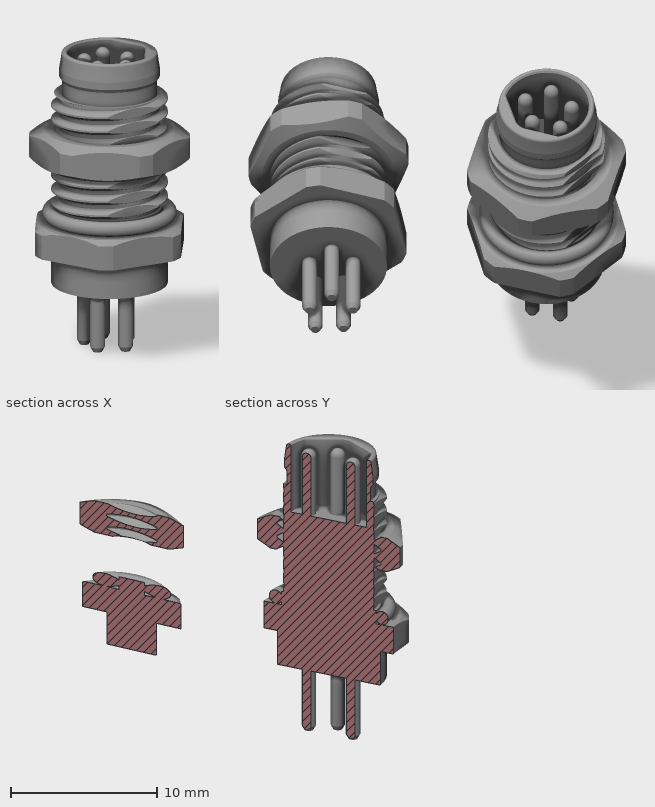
import cadquery as cq
import math

TOTAL_HEIGHT = 21.0
REAR_Z = 4.5
FLANGE_BOTTOM_Z = 7.0
FLANGE_TOP_Z = 9.0
THREAD_BOTTOM_Z = 10.0
NUT_BOTTOM_Z = 13.0
NUT_TOP_Z = 15.5
THREAD_TOP_Z = 18.0

ACROSS_FLATS = 10.0
CORNER_RADIUS = 5.5
NUT_FACE_RADIUS = 4.5
NUT_CHAMFER_HEIGHT = 0.5
NUT_MOUTH_RADIUS = 3.8
FLANGE_FACE_RADIUS = 5.0
FLANGE_CHAMFER_HEIGHT = 0.3

REAR_RADIUS = 4.0

THREAD_MAJOR_RADIUS = 4.0
THREAD_MINOR_RADIUS = 3.49
THREAD_TURNS = 8
THREAD_PITCH = (THREAD_TOP_Z - THREAD_BOTTOM_Z) / THREAD_TURNS
THREAD_CREST_WIDTH = 0.13
THREAD_FLANK_ANGLE = 30.0
ROOT_OVERLAP = 0.1
FLAT_DISTANCE = 3.5
THREAD_END_RADIUS = 3.8
THREAD_END_HEIGHT = 0.25
CREST_CLEARANCE = 0.02

RING_CENTRE_RADIUS = 4.1
RING_SECTION_RADIUS = 0.5
RING_SEAT_RADIUS = 3.65

NECK_RADIUS = 3.25
NECK_TOP_Z = 19.0
COLLAR_RADIUS = 3.45
COLLAR_BOTTOM_Z = 19.25
COLLAR_TOP_Z = 19.78
RIM_RADIUS = 3.25
RIM_ROUND = 0.19

SOCKET_FLOOR_Z = 16.0
SOCKET_RADIUS = 2.9
GABLE_PEAK_Y = 2.73
GABLE_ANGLE = 28.0
GABLE_PEAK_ROUND = 1.0
GABLE_CORNER_ROUND = 0.2
SOCKET_CHAMFER = 0.1

PIN_RADIUS = 0.5
PIN_DOME_CENTRE_Z = 20.25
PIN_TIP_RADIUS = 0.32
PIN_TIP_HEIGHT = 0.35
PIN_CENTRES = [(0, 1.36), (-1.7, 0.35), (1.7, 0.35), (-0.99, -1.43), (0.99, -1.43)]


def cylinder(radius, bottom_z, top_z):
    return cq.Workplane("XY").workplane(offset=bottom_z).circle(radius).extrude(top_z - bottom_z)


def turned(profile):
    """Revolve a closed (radius, z) outline about the Z axis."""
    return cq.Workplane("XZ").polyline(profile).close().revolve(360, (0, 0), (0, 1))


def hexagon(bottom_z, top_z, turn_angle):
    """Hexagonal prism; with no turn its corners lie on the X axis."""
    across_corners = ACROSS_FLATS / math.cos(math.radians(30))
    base = cq.Workplane("XY").workplane(offset=bottom_z).polygon(6, across_corners)
    prism = base.extrude(top_z - bottom_z)
    return prism.rotate((0, 0, 0), (0, 0, 1), turn_angle)


def make_flange():
    envelope = turned([
        (0, FLANGE_BOTTOM_Z),
        (CORNER_RADIUS, FLANGE_BOTTOM_Z),
        (CORNER_RADIUS, FLANGE_TOP_Z - FLANGE_CHAMFER_HEIGHT),
        (FLANGE_FACE_RADIUS, FLANGE_TOP_Z),
        (0, FLANGE_TOP_Z),
    ])
    return hexagon(FLANGE_BOTTOM_Z, FLANGE_TOP_Z, 30).intersect(envelope)


def make_nut():
    envelope = turned([
        (0, NUT_BOTTOM_Z),
        (NUT_FACE_RADIUS, NUT_BOTTOM_Z),
        (CORNER_RADIUS, NUT_BOTTOM_Z + NUT_CHAMFER_HEIGHT),
        (CORNER_RADIUS, NUT_TOP_Z - NUT_CHAMFER_HEIGHT),
        (NUT_FACE_RADIUS, NUT_TOP_Z),
        (0, NUT_TOP_Z),
    ])
    nut = hexagon(NUT_BOTTOM_Z, NUT_TOP_Z, 0).intersect(envelope)
    mouth_depth = NUT_MOUTH_RADIUS - THREAD_MINOR_RADIUS
    for face_z, inward in [(NUT_BOTTOM_Z, 1), (NUT_TOP_Z, -1)]:
        mouth = turned([
            (0, face_z),
            (NUT_MOUTH_RADIUS, face_z),
            (THREAD_MINOR_RADIUS, face_z + inward * mouth_depth),
            (0, face_z + inward * mouth_depth),
        ])
        nut = nut.cut(mouth)
    return nut


def make_thread():
    """Right-hand thread, one turn too long at each end then trimmed and bevelled."""
    start_z = THREAD_BOTTOM_Z - THREAD_PITCH
    helix = cq.Wire.makeHelix(THREAD_PITCH, THREAD_PITCH * (THREAD_TURNS + 2), THREAD_MINOR_RADIUS)
    inner_radius = THREAD_MINOR_RADIUS - ROOT_OVERLAP
    ridge_slope = math.tan(math.radians(THREAD_FLANK_ANGLE))
    half_crest = THREAD_CREST_WIDTH / 2
    half_base = half_crest + (THREAD_MAJOR_RADIUS - inner_radius) * ridge_slope
    ridge = (
        cq.Workplane("XZ")
        .polyline([
            (inner_radius, -half_base),
            (THREAD_MAJOR_RADIUS, -half_crest),
            (THREAD_MAJOR_RADIUS, half_crest),
            (inner_radius, half_base),
        ])
        .close()
        .sweep(cq.Workplane(helix), isFrenet=True)
    )
    ridge = ridge.rotate((0, 0, 0), (0, 0, 1), 180).translate((0, 0, start_z))
    core = cylinder(THREAD_MINOR_RADIUS, start_z - THREAD_PITCH, THREAD_TOP_Z + 2 * THREAD_PITCH)
    envelope_radius = THREAD_MAJOR_RADIUS + CREST_CLEARANCE
    envelope = turned([
        (0, THREAD_BOTTOM_Z),
        (THREAD_END_RADIUS, THREAD_BOTTOM_Z),
        (envelope_radius, THREAD_BOTTOM_Z + THREAD_END_HEIGHT),
        (envelope_radius, THREAD_TOP_Z - THREAD_END_HEIGHT),
        (THREAD_END_RADIUS, THREAD_TOP_Z),
        (0, THREAD_TOP_Z),
    ])
    return core.union(ridge).intersect(envelope)


def outside_flats(body):
    """The parts of a body beyond the two side flats."""
    between_flats = cq.Workplane("XY").box(2 * FLAT_DISTANCE, 4 * CORNER_RADIUS, 2 * TOTAL_HEIGHT)
    return body.cut(between_flats)


def make_ring():
    """Sealing ring on a short round seat just above the flange."""
    section = cq.Workplane("XZ").center(RING_CENTRE_RADIUS, (FLANGE_TOP_Z + THREAD_BOTTOM_Z) / 2)
    axis_start = (-RING_CENTRE_RADIUS, 0)
    axis_end = (-RING_CENTRE_RADIUS, 1)
    ring = section.circle(RING_SECTION_RADIUS).revolve(360, axis_start, axis_end)
    return ring.union(cylinder(RING_SEAT_RADIUS, FLANGE_TOP_Z, THREAD_BOTTOM_Z))


def make_nose():
    nose = turned([
        (0, THREAD_TOP_Z),
        (NECK_RADIUS, THREAD_TOP_Z),
        (NECK_RADIUS, NECK_TOP_Z),
        (COLLAR_RADIUS, COLLAR_BOTTOM_Z),
        (COLLAR_RADIUS, COLLAR_TOP_Z),
        (RIM_RADIUS, TOTAL_HEIGHT),
        (0, TOTAL_HEIGHT),
    ])
    return nose.faces(">Z").edges().fillet(RIM_ROUND)


def make_socket():
    depth = TOTAL_HEIGHT - SOCKET_FLOOR_Z
    reach = 2 * SOCKET_RADIUS
    eaves_y = GABLE_PEAK_Y - reach * math.tan(math.radians(GABLE_ANGLE))
    gable = (
        cq.Workplane("XY")
        .workplane(offset=SOCKET_FLOOR_Z)
        .polyline([
            (-reach, -reach),
            (reach, -reach),
            (reach, eaves_y),
            (0, GABLE_PEAK_Y),
            (-reach, eaves_y),
        ])
        .close()
        .extrude(depth)
        .edges("|Z and >Y")
        .fillet(GABLE_PEAK_ROUND)
    )
    socket = cylinder(SOCKET_RADIUS, SOCKET_FLOOR_Z, TOTAL_HEIGHT).intersect(gable)
    return socket.edges("|Z and (<X or >X)").fillet(GABLE_CORNER_ROUND)


def make_socketed_nose():
    """Nose with the keyed socket cut into it and the socket mouth chamfered."""
    nose = make_nose().cut(make_socket())
    mouth = nose.faces(">Z").val().innerWires()
    return nose.newObject(mouth).edges().chamfer(SOCKET_CHAMFER)


def make_pin():
    dome_middle = PIN_RADIUS * math.sqrt(0.5)
    return (
        cq.Workplane("XZ")
        .moveTo(0, 0)
        .lineTo(PIN_TIP_RADIUS, 0)
        .lineTo(PIN_RADIUS, PIN_TIP_HEIGHT)
        .lineTo(PIN_RADIUS, PIN_DOME_CENTRE_Z)
        .threePointArc(
            (dome_middle, PIN_DOME_CENTRE_Z + dome_middle),
            (0, PIN_DOME_CENTRE_Z + PIN_RADIUS),
        )
        .close()
        .revolve(360, (0, 0), (0, 1))
    )


thread = make_thread()
result = (
    cylinder(REAR_RADIUS, REAR_Z, FLANGE_BOTTOM_Z)
    .union(make_flange())
    .union(make_ring())
    .union(thread)
    .union(make_nut())
    .cut(outside_flats(thread))
    .cut(make_socket())
    .union(make_socketed_nose())
)
pin = make_pin()
for x, y in PIN_CENTRES:
    result = result.union(pin.translate((x, y, 0)))